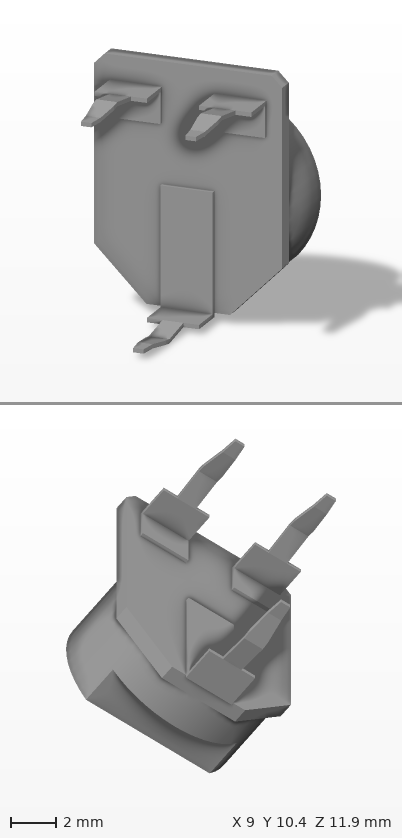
import cadquery as cq


plate_width = 9.0
plate_height = 11.45
plate_thickness = 0.76
top_chamfer = 0.5
bottom_chamfer = 2.5

housing_diameter = 8.95
housing_depth = 3.81
step_height = 1.55
step_start = 1.78

rivet_diameter = 1.27
rivet_height = 0.3
rivet_rounding = 0.27
rivet_spacing = 5.07
rivet_drop = 2.12

sheet = 0.2
tab_width = 2.5
tab_reach = 1.77
pin_width = 1.0
pin_tip_width = 0.5
pin_crest = 3.38
pin_crest_rise = 0.25
pin_taper_start = 3.76
pin_flat_start = 4.97
pin_reach = 5.78
outer_terminal_spacing = 2 * tab_width
outer_terminal_drop = 1.19
outer_tab_height = 1.69
centre_tab_height = 5.9


def make_plate():
    half_width = plate_width / 2
    half_top = half_width - top_chamfer
    half_bottom = half_width - bottom_chamfer
    outline = [
        (-half_bottom, 0),
        (half_bottom, 0),
        (half_width, bottom_chamfer),
        (half_width, plate_height - top_chamfer),
        (half_top, plate_height),
        (-half_top, plate_height),
        (-half_width, plate_height - top_chamfer),
        (-half_width, bottom_chamfer),
    ]
    return cq.Workplane("XZ").polyline(outline).close().extrude(-plate_thickness)


def make_housing():
    radius = housing_diameter / 2
    rear = cq.Workplane("XZ", origin=(0, plate_thickness, radius))
    housing = rear.circle(radius).extrude(-housing_depth)
    step = cq.Workplane("XY").box(
        housing_diameter, housing_depth - step_start, step_height, centered=(True, False, False)
    )
    return housing.cut(step.translate((0, plate_thickness + step_start, 0)))


def make_rivet(x):
    rear = cq.Workplane("XZ", origin=(x, plate_thickness, plate_height - rivet_drop))
    head = rear.circle(rivet_diameter / 2).extrude(-rivet_height)
    return head.faces(">Y").edges().fillet(rivet_rounding)


def make_terminal(tab_height):
    """Terminal with its outer bend edge on the X axis and its tab hanging down from it."""
    tab = cq.Workplane("XY").box(tab_width, sheet, tab_height, centered=(True, False, False))
    tab = tab.translate((0, -sheet, -tab_height))
    shelf = cq.Workplane("XY").box(tab_width, tab_reach, sheet, centered=(True, False, False))
    shelf = shelf.translate((0, -tab_reach, -sheet))

    upper_line = [
        (-tab_reach, 0),
        (-pin_crest, pin_crest_rise),
        (-pin_flat_start, 0),
        (-pin_reach, 0),
    ]
    lower_line = [(y, z - sheet) for y, z in reversed(upper_line)]
    pin = (
        cq.Workplane("YZ")
        .polyline(upper_line + lower_line)
        .close()
        .extrude(pin_width / 2, both=True)
    )

    half_width = pin_width / 2
    half_tip = pin_tip_width / 2
    plan_outline = [
        (-half_width, -tab_reach),
        (half_width, -tab_reach),
        (half_width, -pin_taper_start),
        (half_tip, -pin_reach),
        (-half_tip, -pin_reach),
        (-half_width, -pin_taper_start),
    ]
    plan = cq.Workplane("XY").polyline(plan_outline).close()
    pin = pin.intersect(plan.extrude(sheet + pin_crest_rise, both=True))
    return tab.union(shelf).union(pin)


result = make_plate().union(make_housing())

for side in (-1, 1):
    result = result.union(make_rivet(side * rivet_spacing / 2))
    outer_terminal = make_terminal(outer_tab_height).translate(
        (side * outer_terminal_spacing / 2, 0, plate_height - outer_terminal_drop)
    )
    result = result.union(outer_terminal)

centre_terminal = make_terminal(centre_tab_height).mirror("XY").translate((0, 0, -sheet))
result = result.union(centre_terminal)